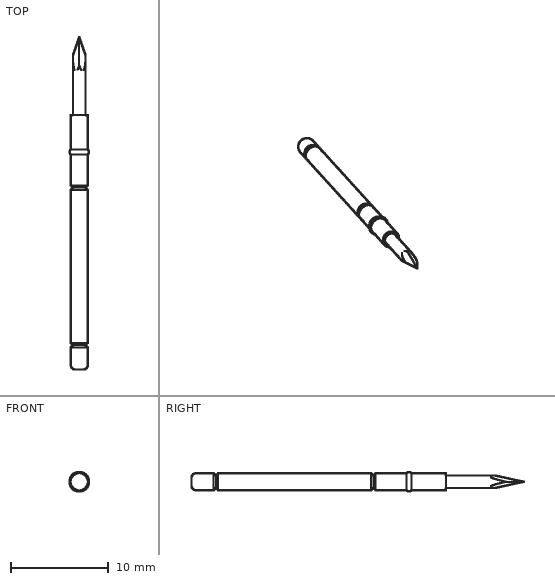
import cadquery as cq
import math

total_length = 34.0
body_radius = 0.9
plunger_radius = 0.65
body_length = 26.0
tail_fillet_radius = 0.5

bead_radius = 1.003
bead_width = 0.48
bead_center = 22.25

groove_centers = (2.5, 18.6)
groove_half_width = 0.25
groove_depth = 0.25

side_ridge_length = 1.87
upper_ridge_length = 2.95


def revolve_about_y(profile):
    return profile.close().revolve(360, (0, 0, 0), (0, 1, 0))


def make_body():
    tail_flat_radius = body_radius - tail_fillet_radius
    arc_reach = tail_fillet_radius * math.sqrt(0.5)
    arc_middle = (tail_flat_radius + arc_reach, tail_fillet_radius - arc_reach)
    profile = (
        cq.Workplane("XY")
        .lineTo(tail_flat_radius, 0)
        .threePointArc(arc_middle, (body_radius, tail_fillet_radius))
        .lineTo(body_radius, body_length)
        .lineTo(0, body_length)
    )
    return revolve_about_y(profile)


def make_bead():
    bead_start = bead_center - bead_width / 2
    bead_end = bead_center + bead_width / 2
    profile = (
        cq.Workplane("XY")
        .moveTo(0, bead_start)
        .lineTo(body_radius, bead_start)
        .threePointArc((bead_radius, bead_center), (body_radius, bead_end))
        .lineTo(0, bead_end)
    )
    return revolve_about_y(profile)


def make_groove(center):
    profile = cq.Workplane("XY").polyline([
        (body_radius, center - groove_half_width),
        (body_radius - groove_depth, center),
        (body_radius, center + groove_half_width),
    ])
    return revolve_about_y(profile)


def make_tip_pyramid():
    """Rhombus-based pyramid with its apex at the tip and its base at the body end."""
    height = total_length - body_length
    half_width = plunger_radius * height / side_ridge_length
    half_height = plunger_radius * height / upper_ridge_length
    apex = cq.Vector(0, total_length, 0)
    base = [
        cq.Vector(half_width, body_length, 0),
        cq.Vector(0, body_length, half_height),
        cq.Vector(-half_width, body_length, 0),
        cq.Vector(0, body_length, -half_height),
    ]
    outlines = [base]
    for index, corner in enumerate(base):
        outlines.append([base[index - 1], corner, apex])
    faces = [cq.Face.makeFromWires(cq.Wire.makePolygon(outline, close=True)) for outline in outlines]
    return cq.Workplane(cq.Solid.makeSolid(cq.Shell.makeShell(faces)))


def make_plunger():
    profile = (
        cq.Workplane("XY")
        .moveTo(0, body_length)
        .lineTo(plunger_radius, body_length)
        .lineTo(plunger_radius, total_length)
        .lineTo(0, total_length)
    )
    return revolve_about_y(profile).intersect(make_tip_pyramid())


body = make_body().union(make_bead())
for groove_center in groove_centers:
    body = body.cut(make_groove(groove_center))

result = body.union(make_plunger()).solids()